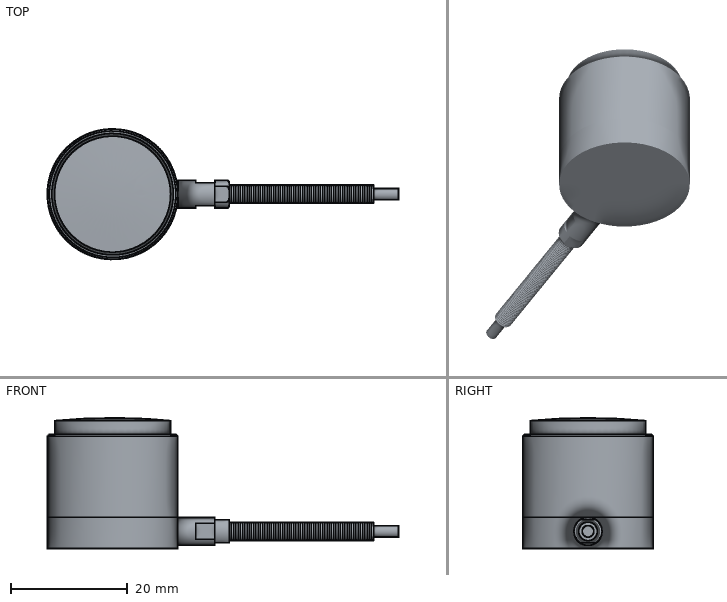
import cadquery as cq
import math

HOUSING_RADIUS = 11.2
BASE_HEIGHT = 5.35
HOUSING_TOP = 19.55
RIM_CHAMFER = 0.35

BUTTON_RADIUS = 9.9
RECESS_RADIUS = 10.4
RECESS_DEPTH = 0.6
BUTTON_EDGE_HEIGHT = 21.9
BUTTON_TOP = 22.35

OUTLET_RADIUS = 2.4
OUTLET_AXIS_HEIGHT = BASE_HEIGHT - OUTLET_RADIUS
FLAT_HALF_WIDTH = 2.0
GLAND_START = HOUSING_RADIUS
GLAND_FLAT_START = 14.25
GLAND_END = 17.5
NUT_END = 19.95
NUT_FILLET = 0.5

HOSE_END = 44.7
HOSE_DIAMETER = 3.2
RIB_COUNT = 65
RIB_HEIGHT = 0.2

CABLE_DIAMETER = 2.0
OVERALL_LENGTH = 60.1
CABLE_END = OVERALL_LENGTH - HOUSING_RADIUS


def outlet_cylinder(radius, start, end):
    """Cylinder on the outlet axis between two X positions."""
    plane = cq.Workplane("YZ", origin=(start, 0, OUTLET_AXIS_HEIGHT))
    return plane.circle(radius).extrude(end - start)


def outlet_slab(width, height, start, end):
    """Box centred on the outlet axis between two X positions."""
    plane = cq.Workplane("YZ", origin=(start, 0, OUTLET_AXIS_HEIGHT))
    return plane.rect(width, height).extrude(end - start)


def make_base():
    """Plain disc under the housing."""
    return cq.Workplane("XY").circle(HOUSING_RADIUS).extrude(BASE_HEIGHT)


def make_housing():
    """Cylinder with a chamfered top rim and a shallow recess for the button."""
    housing = (
        cq.Workplane("XY", origin=(0, 0, BASE_HEIGHT))
        .circle(HOUSING_RADIUS)
        .extrude(HOUSING_TOP - BASE_HEIGHT)
        .faces(">Z")
        .chamfer(RIM_CHAMFER)
    )
    recess = (
        cq.Workplane("XY", origin=(0, 0, HOUSING_TOP - RECESS_DEPTH))
        .circle(RECESS_RADIUS)
        .extrude(RECESS_DEPTH)
    )
    return housing.cut(recess)


def make_button():
    """Plunger with a shallow spherical top, resting on the recess floor."""
    floor = HOUSING_TOP - RECESS_DEPTH
    dome_height = BUTTON_TOP - BUTTON_EDGE_HEIGHT
    dome_radius = (BUTTON_RADIUS**2 + dome_height**2) / (2 * dome_height)
    half_angle = math.asin(BUTTON_RADIUS / dome_radius) / 2
    dome_middle = (
        dome_radius * math.sin(half_angle),
        BUTTON_TOP - dome_radius * (1 - math.cos(half_angle)),
    )
    return (
        cq.Workplane("XZ")
        .moveTo(0, floor)
        .lineTo(BUTTON_RADIUS, floor)
        .lineTo(BUTTON_RADIUS, BUTTON_EDGE_HEIGHT)
        .threePointArc(dome_middle, (0, BUTTON_TOP))
        .close()
        .revolve(360, (0, 0), (0, 1))
    )


def make_gland():
    """Round gland with two wrench flats facing -Y and +Y at its outer end."""
    flat_width = 2 * FLAT_HALF_WIDTH
    shank = outlet_cylinder(OUTLET_RADIUS, GLAND_START, GLAND_FLAT_START)
    wrench_end = outlet_cylinder(OUTLET_RADIUS, GLAND_FLAT_START, GLAND_END).intersect(
        outlet_slab(flat_width, 2 * OUTLET_RADIUS, GLAND_FLAT_START, GLAND_END)
    )
    return shank.union(wrench_end)


def make_nut():
    """Round nut with a filleted outer rim and two wrench flats facing up and down."""
    blank = outlet_cylinder(OUTLET_RADIUS, GLAND_END, NUT_END).faces(">X").edges().fillet(NUT_FILLET)
    return blank.intersect(outlet_slab(2 * OUTLET_RADIUS, 2 * FLAT_HALF_WIDTH, GLAND_END, NUT_END))


def make_hose():
    """Tube around the cable whose outside is a row of arc-shaped ribs."""
    pitch = (HOSE_END - NUT_END) / RIB_COUNT
    bore_line = OUTLET_AXIS_HEIGHT + CABLE_DIAMETER / 2
    crest_line = OUTLET_AXIS_HEIGHT + HOSE_DIAMETER / 2
    groove_line = crest_line - RIB_HEIGHT
    profile = cq.Workplane("XZ").moveTo(NUT_END, bore_line).lineTo(NUT_END, groove_line)
    for rib in range(RIB_COUNT):
        rib_start = NUT_END + rib * pitch
        profile = profile.threePointArc(
            (rib_start + pitch / 2, crest_line), (rib_start + pitch, groove_line)
        )
    return (
        profile.lineTo(HOSE_END, bore_line)
        .close()
        .revolve(360, (0, OUTLET_AXIS_HEIGHT), (1, OUTLET_AXIS_HEIGHT))
    )


def make_cable():
    """Round cable from the nut through the hose to its free end."""
    return outlet_cylinder(CABLE_DIAMETER / 2, NUT_END, CABLE_END)


base = make_base()
housing = make_housing()
button = make_button()
gland = make_gland()
nut = make_nut()
hose = make_hose()
cable = make_cable()

result = cq.Compound.makeCompound(
    [base.val(), housing.val(), button.val(), gland.val(), nut.val(), hose.val(), cable.val()]
)